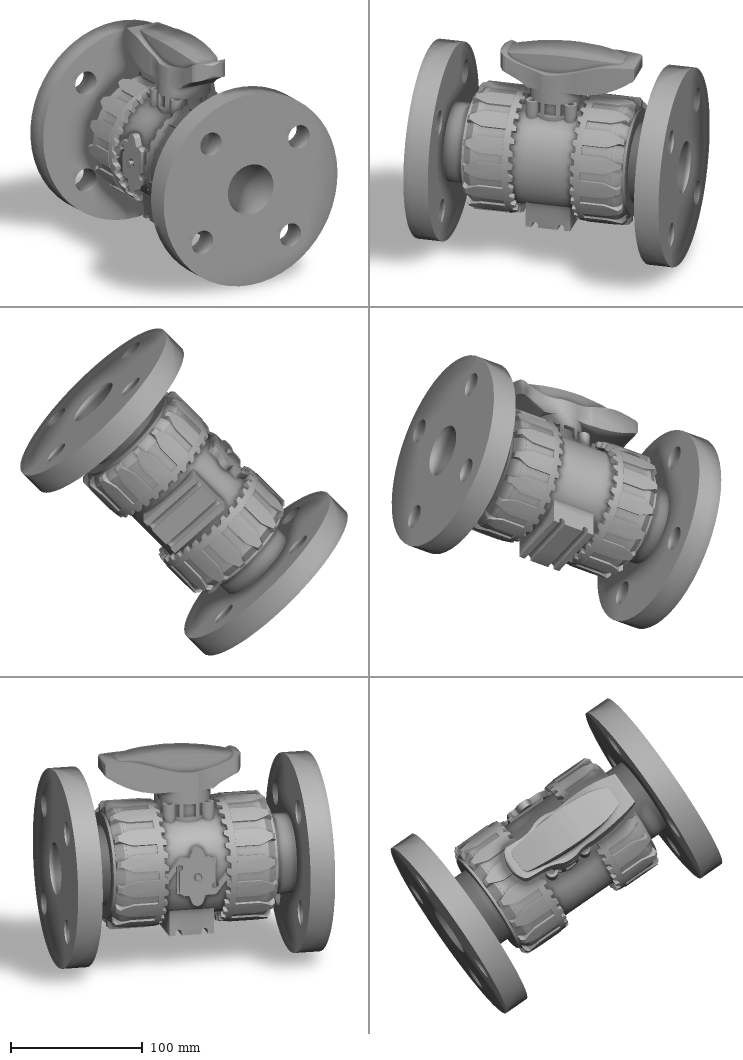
import cadquery as cq
total_length = 200.5
bore_diameter = 40

flange_diameter = 153.0
flange_thickness = 19.2
bolt_circle_diameter = 110.0
bolt_hole_diameter = 18.6
bolt_count = 4
bolt_start_angle = 45
right_flange_twist = 5.5

pipe_diameter = 61.3
body_diameter = 82.0
collar_outer_x = 64.1
body_end_x = 42

nut_outer_x = 62.1
nut_inner_x = 22.6
nut_end_diameter = 83.8
nut_ledge_diameter = 94.2
nut_ledge_outer_x = 56.0
nut_ledge_inner_x = 54.1
nut_floor_diameter = 95.0
nut_band_diameter = 97.4
nut_rib_diameter = 98.2
nut_root_diameter = 80.2
nut_mouth_diameter = 87.0
nut_mouth_depth = 8
nut_edge_chamfer = 2.5
nut_band_width = 7.8
nut_band_fall = 0.8
rib_count = 15
rib_width = 13.0
rib_taper_start_x = 49.0
rib_waist_x = 54.3
rib_waist_width = 9.5
rib_neck_x = 59.0
rib_neck_width = 5.0
rib_tip_width = 4.8
tooth_depth = 3.2
tooth_gap_width = 4.5
tooth_ramp_width = 2.2
tooth_count = 2 * rib_count
rib_angle = -7.3
tooth_angle = -3.8
right_nut_twist = 2.5

neck_top = 49.9
neck_floor = 39.3
neck_diameter = 40
neck_core_diameter = 32
neck_rib_offset = 6.2
neck_rib_width = 2.8
pillar_diameter = 9.6
pillar_hole_diameter = 5.0
pillar_hole_depth = 6
pillar_offset = 15.0

foot_width = 34.9
foot_depth = 51.7
foot_bottom = -52.0
foot_top = -28
foot_slot_width = 5.0
foot_slot_height = 4.6
foot_slot_offset = 10.2

handle_bottom = 59.7
handle_shoulder = 84.4
handle_peak = 88.8
handle_hollow = 74.0
handle_left_x = -64.1
handle_right_x = 43.5
handle_half_width = 20

plate_front_y = 45.9
plate_thickness = 5.2
plate_half_width = 13.6
plate_half_height = 14.6
plate_base_half_width = 15.2
plate_base_half_height = 13.6
plate_base_back_y = 36
plate_base_front_y = 42.5
lobe_tip = 23.0
arm_tip_x = nut_inner_x + tooth_depth
notch_x = 14
notch_z = 7.6
notch_diameter = 5.6
pin_recess_diameter = 6.6
pin_recess_depth = 1.6
pin_neck_diameter = 3.5
pin_head_diameter = 4.2
pin_head_thickness = 1.2
pin_end_y = 48.7

half_length = total_length / 2


def x_cylinder(x_start, x_end, diameter):
    return cq.Workplane("YZ", origin=(x_start, 0, 0)).circle(diameter / 2).extrude(x_end - x_start)


def z_cylinder(z_start, z_end, diameter):
    return cq.Workplane("XY", origin=(0, 0, z_start)).circle(diameter / 2).extrude(z_end - z_start)


def y_cylinder(x, z, y_start, y_end, diameter):
    """Cylinder that grows toward -Y, between two distances from the XZ plane."""
    plane = cq.Workplane("XZ", origin=(x, -y_start, z))
    return plane.circle(diameter / 2).extrude(y_end - y_start)


def turn_about_pipe(shape, elevation):
    """Turn a shape so that what faces -Y rises toward +Z."""
    return shape.rotate((0, 0, 0), (1, 0, 0), -elevation)


def half_turn(shape):
    return shape.rotate((0, 0, 0), (0, 1, 0), 180)


def make_flanged_end():
    """Left end: bolt flange, pipe and the collar that the nut pulls onto the body."""
    flange_inner_x = -half_length + flange_thickness
    end = x_cylinder(-half_length, flange_inner_x, flange_diameter)
    end = end.union(x_cylinder(flange_inner_x, -collar_outer_x, pipe_diameter))
    end = end.union(x_cylinder(-collar_outer_x, -body_end_x, body_diameter))
    end = end.cut(x_cylinder(-half_length, -body_end_x, bore_diameter))
    bolt_holes = (
        cq.Workplane("YZ", origin=(-half_length, 0, 0))
        .polarArray(bolt_circle_diameter / 2, bolt_start_angle, 360, bolt_count)
        .circle(bolt_hole_diameter / 2)
        .extrude(flange_thickness)
    )
    return end.cut(bolt_holes)


def make_nut_ring():
    """Ring between the ribs, with the plain band on the body side."""
    band_x = -nut_inner_x - nut_band_width
    bore_radius = body_diameter / 2
    band_radius = nut_band_diameter / 2
    return (
        cq.Workplane("XY")
        .moveTo(-nut_outer_x, bore_radius)
        .lineTo(-nut_outer_x, nut_end_diameter / 2)
        .lineTo(-nut_ledge_outer_x, nut_ledge_diameter / 2)
        .lineTo(-nut_ledge_inner_x, nut_ledge_diameter / 2)
        .lineTo(-nut_ledge_inner_x, nut_floor_diameter / 2)
        .lineTo(band_x, nut_floor_diameter / 2)
        .lineTo(band_x, band_radius)
        .threePointArc(
            (band_x + nut_band_width / 2, band_radius - nut_band_fall / 4),
            (-nut_inner_x, band_radius - nut_band_fall),
        )
        .lineTo(-nut_inner_x, bore_radius)
        .close()
        .revolve(360, (0, 0, 0), (1, 0, 0))
    )


def make_nut_rib():
    """Boat-shaped grip rib on the -Y side, narrowing toward the outer end."""
    band_x = -nut_inner_x - nut_band_width
    root_y = nut_root_diameter / 2
    prism = (
        cq.Workplane("XZ", origin=(0, -root_y, 0))
        .moveTo(band_x, 0)
        .lineTo(band_x, rib_width / 2)
        .lineTo(-rib_taper_start_x, rib_width / 2)
        .threePointArc((-rib_waist_x, rib_waist_width / 2), (-rib_neck_x, rib_neck_width / 2))
        .lineTo(-nut_outer_x, rib_tip_width / 2)
        .lineTo(-nut_outer_x, 0)
        .mirrorX()
        .extrude(nut_rib_diameter / 2 - root_y)
    )
    envelope = x_cylinder(-nut_outer_x, band_x, nut_rib_diameter).faces("<X").chamfer(nut_edge_chamfer)
    return prism.intersect(envelope)


def make_tooth_gap():
    """Saw-tooth gap on the -Y side: straight upper flank, ramped lower flank."""
    gap_floor_x = -nut_inner_x - tooth_depth
    outline = [
        (-nut_inner_x, 0),
        (gap_floor_x, 0),
        (gap_floor_x, -tooth_gap_width),
        (-nut_inner_x, -tooth_gap_width - tooth_ramp_width),
    ]
    root_y = nut_root_diameter / 2
    plane = cq.Workplane("XZ", origin=(0, -root_y, 0))
    return plane.polyline(outline).close().extrude(nut_rib_diameter / 2 - root_y)


def ring_of(shape, first_elevation, count):
    """Copies of a shape spaced evenly about the pipe axis."""
    copies = [turn_about_pipe(shape, first_elevation + index * 360 / count) for index in range(count)]
    return cq.Compound.makeCompound([copy.val() for copy in copies])


def make_nut():
    nut = make_nut_ring()
    nut = nut.union(cq.Workplane(ring_of(make_nut_rib(), rib_angle, rib_count)))
    nut = nut.cut(cq.Workplane(ring_of(make_tooth_gap(), tooth_angle, tooth_count)))
    nut = nut.cut(x_cylinder(-nut_outer_x, -nut_inner_x, body_diameter))
    return nut.cut(x_cylinder(-nut_inner_x - nut_mouth_depth, -nut_inner_x, nut_mouth_diameter))


def make_neck():
    """Neck under the handle: core with vertical ribs on four sides and four screw pillars."""
    neck = z_cylinder(0, neck_floor, neck_diameter)
    neck = neck.union(z_cylinder(0, neck_top, neck_core_diameter))
    envelope = z_cylinder(0, neck_top, neck_diameter)
    for length, width in ((neck_rib_width, neck_diameter), (neck_diameter, neck_rib_width)):
        for side in (-1, 1):
            along_x = side * neck_rib_offset if length < width else 0
            along_y = side * neck_rib_offset if width < length else 0
            rib = cq.Workplane("XY").center(along_x, along_y).rect(length, width).extrude(neck_top)
            neck = neck.union(rib.intersect(envelope))
    pillar_spacing = 2 * pillar_offset
    pillars = (
        cq.Workplane("XY")
        .rect(pillar_spacing, pillar_spacing, forConstruction=True)
        .vertices()
        .circle(pillar_diameter / 2)
        .extrude(neck_top)
    )
    neck = neck.union(pillars)
    screw_holes = (
        cq.Workplane("XY", origin=(0, 0, neck_top - pillar_hole_depth))
        .rect(pillar_spacing, pillar_spacing, forConstruction=True)
        .vertices()
        .circle(pillar_hole_diameter / 2)
        .extrude(pillar_hole_depth)
    )
    return neck.cut(screw_holes)


def make_foot():
    """Mounting foot below the body with two round-topped slots."""
    foot = (
        cq.Workplane("XY", origin=(0, 0, foot_bottom))
        .rect(foot_width, foot_depth)
        .extrude(foot_top - foot_bottom)
    )
    slot_radius = foot_slot_width / 2
    slot_arc_z = foot_bottom + foot_slot_height - slot_radius
    for slot_x in (-foot_slot_offset, foot_slot_offset):
        slot = (
            cq.Workplane("XZ", origin=(slot_x, foot_depth / 2, 0))
            .moveTo(-slot_radius, foot_bottom)
            .lineTo(-slot_radius, slot_arc_z)
            .threePointArc((0, slot_arc_z + slot_radius), (slot_radius, slot_arc_z))
            .lineTo(slot_radius, foot_bottom)
            .close()
            .extrude(foot_depth)
        )
        foot = foot.cut(slot)
    return foot


def make_valve_body():
    body = x_cylinder(-body_end_x, body_end_x, body_diameter)
    body = body.union(make_neck()).union(make_foot())
    return body.cut(x_cylinder(-body_end_x, body_end_x, bore_diameter))


def make_grip_side():
    """Side shape of the grip: boat-shaped underside and a hollow shoulder line."""
    depth = 2 * handle_half_width
    return (
        cq.Workplane("XZ", origin=(0, handle_half_width, 0))
        .moveTo(-61.7, handle_shoulder)
        .lineTo(-47.0, handle_shoulder)
        .spline(
            [(-34, 82.4), (-22, 78.5), (0.8, handle_hollow), (24.6, 77.8), (38.7, handle_shoulder)],
            tangents=[(1, 0), (1, 0.6)],
            includeCurrent=True,
        )
        .lineTo(41.5, handle_shoulder)
        .threePointArc((42.9, 83.8), (handle_right_x, 82.4))
        .lineTo(handle_right_x, 75.0)
        .threePointArc((42.5, 72.3), (40.3, 71.0))
        .lineTo(36, 69.7)
        .lineTo(25.0, 64.1)
        .lineTo(19.5, handle_bottom)
        .lineTo(-20.8, handle_bottom)
        .threePointArc((-42.3, 63.0), (-61.7, 72.5))
        .threePointArc((-63.5, 73.3), (handle_left_x, 74.7))
        .lineTo(handle_left_x, 82.2)
        .threePointArc((-63.5, 83.8), (-61.7, handle_shoulder))
        .close()
        .extrude(depth)
    )


def make_grip_plan():
    """Plan shape of the grip: broad left wing, hub bulge, narrow right wing."""
    return (
        cq.Workplane("XY", origin=(0, 0, handle_bottom))
        .moveTo(handle_left_x, 0)
        .lineTo(handle_left_x, 13.0)
        .lineTo(-61.1, 13.8)
        .threePointArc((-41.0, 17.5), (-20.8, 18.2))
        .threePointArc((-13.0, 17.8), (-5.8, 19.2))
        .threePointArc((0.8, 19.8), (7.2, 18.8))
        .threePointArc((15.0, 15.6), (25.0, 14.6))
        .lineTo(36.7, 14.5)
        .lineTo(38.7, 13.5)
        .threePointArc((42.5, 6.2), (handle_right_x, 0))
        .mirrorX()
        .extrude(handle_peak - handle_bottom)
    )


def make_blade():
    """Raised leaf-shaped blade with a domed top, standing on the grip."""
    blade_left_x = -53.5
    blade_right_x = 36.5
    plan = (
        cq.Workplane("XY", origin=(0, 0, handle_bottom))
        .moveTo(blade_left_x, 0)
        .lineTo(blade_left_x, 5.8)
        .threePointArc((-53.1, 7.0), (-52.1, 7.8))
        .threePointArc((-42.5, 11.5), (-31.5, 13.5))
        .threePointArc((-8, 14.2), (30.9, 10.8))
        .threePointArc((34.9, 8.8), (blade_right_x, 5.5))
        .lineTo(blade_right_x, 0)
        .mirrorX()
        .extrude(handle_peak - handle_bottom)
    )
    dome = (
        cq.Workplane("XZ", origin=(0, handle_half_width, 0))
        .moveTo(blade_left_x, handle_hollow)
        .lineTo(blade_left_x, 84.8)
        .spline([(-8, handle_peak), (blade_right_x, 83.5)], includeCurrent=True)
        .lineTo(blade_right_x, handle_hollow)
        .close()
        .extrude(2 * handle_half_width)
    )
    return plan.intersect(dome)


def make_handle():
    grip = make_grip_side().intersect(make_grip_plan())
    collar = z_cylinder(neck_top, handle_bottom, neck_diameter)
    return grip.union(make_blade()).union(collar)


def make_plate_half():
    """Upper half of the front layer, with its lobe and the left locking arm."""
    return (
        cq.Workplane("XZ", origin=(0, -plate_front_y + plate_thickness, 0))
        .moveTo(-plate_half_width, 0)
        .lineTo(-plate_half_width, 6)
        .lineTo(-16.5, 6)
        .lineTo(-21.8, -1.0)
        .lineTo(-nut_inner_x, -1.0)
        .lineTo(-nut_inner_x, 0.2)
        .lineTo(-arm_tip_x, 3.0)
        .lineTo(-arm_tip_x, 3.6)
        .lineTo(-nut_inner_x, 3.6)
        .lineTo(-15.5, 13.2)
        .lineTo(-13.8, plate_half_height)
        .lineTo(-6.5, plate_half_height)
        .lineTo(-4.5, 19.8)
        .threePointArc((0, lobe_tip), (4.5, 19.8))
        .lineTo(6.5, plate_half_height)
        .lineTo(10.5, plate_half_height)
        .lineTo(plate_half_width, 12.5)
        .lineTo(plate_half_width, 0)
        .close()
        .extrude(plate_thickness)
    )


def make_rating_plate():
    half = make_plate_half()
    plate = half.union(half_turn(half))
    for side in (-1, 1):
        plate = plate.cut(
            y_cylinder(side * notch_x, -side * notch_z, plate_base_back_y, plate_front_y, notch_diameter)
        )
    base = (
        cq.Workplane("XZ", origin=(0, -plate_base_back_y, 0))
        .rect(2 * plate_base_half_width, 2 * plate_base_half_height)
        .extrude(plate_base_front_y - plate_base_back_y)
    )
    plate = plate.union(base)
    recess_floor_y = plate_front_y - pin_recess_depth
    plate = plate.cut(y_cylinder(0, 0, recess_floor_y, plate_front_y, pin_recess_diameter))
    head_y = pin_end_y - pin_head_thickness
    plate = plate.union(y_cylinder(0, 0, recess_floor_y, head_y, pin_neck_diameter))
    plate = plate.union(y_cylinder(0, 0, head_y, pin_end_y, pin_head_diameter))
    return plate.cut(x_cylinder(-body_end_x, body_end_x, body_diameter))


left_end = make_flanged_end()
right_end = turn_about_pipe(half_turn(left_end), right_flange_twist)
left_nut = make_nut()
right_nut = turn_about_pipe(half_turn(left_nut), right_nut_twist)
valve_body = make_valve_body()
handle = make_handle()
rating_plate = make_rating_plate()

result = cq.Compound.makeCompound([
    left_end.val(),
    right_end.val(),
    left_nut.val(),
    right_nut.val(),
    valve_body.val(),
    handle.val(),
    rating_plate.val(),
])